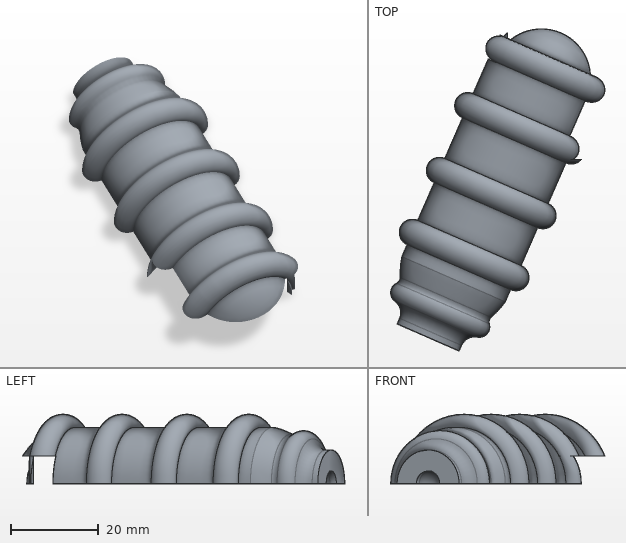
import cadquery as cq
import math

AXIS_ANGLE = 66.4

BODY_RADIUS = 12.85
NECK_RADIUS = 7.7
NECK_LENGTH = 1.4
SHOULDER_START_ANGLE = 22.0
SHOULDER_MIDDLE = 12.3
SHOULDER_MIDDLE_RADIUS = 12.25
SHOULDER_END = 14.5
DOME_CENTER = 64.5

COLLAR_POSITION = 6.9
COLLAR_TUBE_RADIUS = 2.4
COLLAR_OUTER_RADIUS = 12.1
COLLAR_ROUND_END = 50.0
COLLAR_FILLET_RADIUS = 1.5
RING_POSITIONS = (20.5, 35.9, 52.0, 66.7)
RING_TUBE_RADIUS = 3.0

SOCKET_RADIUS = 2.9
SOCKET_STRAIGHT_DEPTH = 1.6

RECESS_HEIGHT = 6.3
RECESS_MIN_X = 18.1
RECESS_MIN_Y = 40.6
SLOT_START = 63.6
SLOT_END = 69.4
POST_MIN_X = 16.4
POST_CLEARANCE_MIN_Y = 66.5

CUTTER_SIZE = 100.0


def ring(position):
    """Full torus around the handle axis, its tube centred on the body surface."""
    return (
        cq.Workplane("XY")
        .center(position, BODY_RADIUS)
        .circle(RING_TUBE_RADIUS)
        .revolve(360, (0, -BODY_RADIUS), (1, -BODY_RADIUS))
    )


def polar(center, radius, angle):
    """Point on a circle at an angle in radians."""
    return (center[0] + radius * math.cos(angle), center[1] + radius * math.sin(angle))


def core():
    """Neck, flare, collar, shoulder, cylinder and dome revolved about +X."""
    collar_center = (COLLAR_POSITION, COLLAR_OUTER_RADIUS - COLLAR_TUBE_RADIUS)
    collar_end_angle = math.radians(COLLAR_ROUND_END)
    collar_end = polar(collar_center, COLLAR_TUBE_RADIUS, collar_end_angle)

    run = collar_center[0] - NECK_LENGTH
    rise = collar_center[1] - NECK_RADIUS
    flare_radius = (run**2 + rise**2 - COLLAR_TUBE_RADIUS**2) / (2 * (rise + COLLAR_TUBE_RADIUS))
    flare_center = (NECK_LENGTH, NECK_RADIUS + flare_radius)
    flare_end_angle = math.atan2(collar_center[1] - flare_center[1], run)
    flare_middle_angle = (flare_end_angle - math.pi / 2) / 2

    fillet_center = polar(collar_center, COLLAR_TUBE_RADIUS + COLLAR_FILLET_RADIUS, collar_end_angle)
    fillet_start_angle = collar_end_angle - math.pi
    fillet_end_angle = math.radians(SHOULDER_START_ANGLE) - math.pi / 2
    fillet_middle_angle = (fillet_start_angle + fillet_end_angle) / 2

    return (
        cq.Workplane("XY")
        .lineTo(0, NECK_RADIUS)
        .lineTo(NECK_LENGTH, NECK_RADIUS)
        .threePointArc(
            polar(flare_center, flare_radius, flare_middle_angle),
            polar(flare_center, flare_radius, flare_end_angle),
        )
        .threePointArc((COLLAR_POSITION, COLLAR_OUTER_RADIUS), collar_end)
        .threePointArc(
            polar(fillet_center, COLLAR_FILLET_RADIUS, fillet_middle_angle),
            polar(fillet_center, COLLAR_FILLET_RADIUS, fillet_end_angle),
        )
        .threePointArc((SHOULDER_MIDDLE, SHOULDER_MIDDLE_RADIUS), (SHOULDER_END, BODY_RADIUS))
        .lineTo(DOME_CENTER, BODY_RADIUS)
        .threePointArc(
            polar((DOME_CENTER, 0), BODY_RADIUS, math.pi / 4),
            (DOME_CENTER + BODY_RADIUS, 0),
        )
        .close()
        .revolve(360, (0, 0), (1, 0))
    )


def socket():
    """Short straight bore with a hemispherical bottom, opening at the neck face."""
    straight = cq.Workplane("YZ").circle(SOCKET_RADIUS).extrude(SOCKET_STRAIGHT_DEPTH)
    bottom = cq.Workplane("XY").sphere(SOCKET_RADIUS).translate((SOCKET_STRAIGHT_DEPTH, 0, 0))
    return straight.union(bottom)


def handle():
    """Upper half of the ringed core with its socket, turned to its direction."""
    body = core()
    for position in RING_POSITIONS:
        body = body.union(ring(position))
    upper_half = cq.Workplane("XY").box(
        2 * CUTTER_SIZE, CUTTER_SIZE, CUTTER_SIZE, centered=(True, True, False)
    )
    body = body.cut(socket()).intersect(upper_half)
    return body.rotate((0, 0, 0), (0, 0, 1), AXIS_ANGLE)


def recess():
    """Block squared to X and Y that opens the underside at the dome end."""
    return (
        cq.Workplane("XY")
        .box(CUTTER_SIZE, CUTTER_SIZE, RECESS_HEIGHT, centered=False)
        .translate((RECESS_MIN_X, RECESS_MIN_Y, 0))
    )


def ring_slot():
    """Slot square to the handle axis that takes away the last ring's lower ends."""
    return (
        cq.Workplane("XY")
        .box(SLOT_END - SLOT_START, CUTTER_SIZE, RECESS_HEIGHT, centered=(False, True, False))
        .translate((SLOT_START, 0, 0))
        .rotate((0, 0, 0), (0, 0, 1), AXIS_ANGLE)
    )


def post_clearance():
    """Block that trims the dome remnant beside the slot down to a small post."""
    return (
        cq.Workplane("XY")
        .box(CUTTER_SIZE, CUTTER_SIZE, RECESS_HEIGHT, centered=False)
        .translate((POST_MIN_X - CUTTER_SIZE, POST_CLEARANCE_MIN_Y, 0))
    )


result = handle().cut(recess()).cut(ring_slot()).cut(post_clearance())